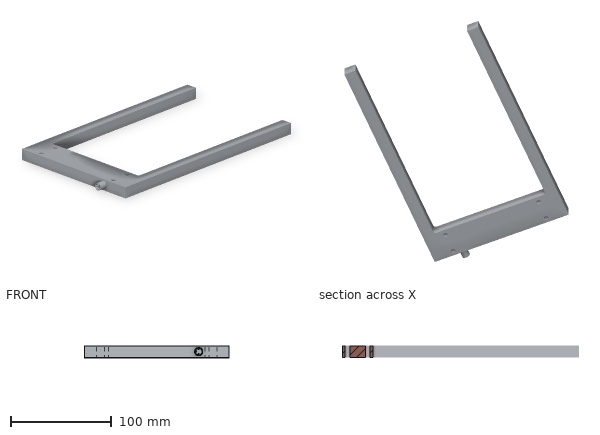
import cadquery as cq
import math

total_length = 243.8
width = 144.0
thickness = 12.0

plug_length = 8.3
arm_width = 12.0
bridge_depth = 30.7
inner_corner_radius = 3.0
fork_length = total_length - plug_length

hole_diameter = 4.5
hole_spacing_x = 100.0
hole_spacing_y = 20.0
hole_edge_distance = 5.0

plug_x = 41.7
plug_z = 0.2
plug_diameter = 8.0
socket_diameter = 6.8
socket_depth = 5.9
pin_diameter = 1.0
pin_circle_radius = 2.5
pin_angles = (90, 180, 270)


def cylinder_along_y(diameter, start_y, length, x=plug_x, z=plug_z):
    """Cylinder growing from start_y toward +Y."""
    base_centre = cq.Vector(x, start_y, z)
    axis = cq.Vector(0, 1, 0)
    return cq.Workplane(cq.Solid.makeCylinder(diameter / 2, length, base_centre, axis))


def make_fork():
    """U-shaped plate; its front edge lies at Y = 0 and its mid-plane at Z = 0."""
    plate = cq.Workplane("XY").box(width, fork_length, thickness, centered=(True, False, True))
    opening = (
        cq.Workplane("XY")
        .box(width - 2 * arm_width, fork_length, thickness, centered=(True, False, True))
        .edges("|Z and <Y")
        .fillet(inner_corner_radius)
        .translate((0, bridge_depth, 0))
    )
    holes = (
        cq.Workplane("XY")
        .center(0, hole_edge_distance + hole_spacing_y / 2)
        .rect(hole_spacing_x, hole_spacing_y, forConstruction=True)
        .vertices()
        .circle(hole_diameter / 2)
        .extrude(thickness / 2, both=True)
    )
    return plate.cut(opening).cut(holes)


def make_plug():
    """Round plug with a socket holding contact pins."""
    barrel = cylinder_along_y(plug_diameter, -plug_length, plug_length)
    socket = cylinder_along_y(socket_diameter, -plug_length, socket_depth)
    plug = barrel.cut(socket)
    for angle in pin_angles:
        pin_x = plug_x + pin_circle_radius * math.cos(math.radians(angle))
        pin_z = plug_z + pin_circle_radius * math.sin(math.radians(angle))
        plug = plug.union(cylinder_along_y(pin_diameter, -plug_length, socket_depth, pin_x, pin_z))
    return plug


result = make_fork().union(make_plug())